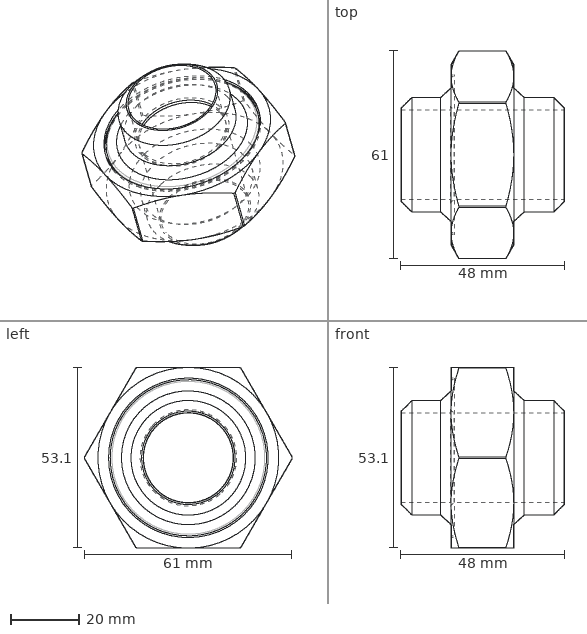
import cadquery as cq
import math


bore_radius = 13.2
pipe_radius = 16.85
bevel_length = 3.1
left_pipe_length = 8.5
right_pipe_length = 8.7
flare_length = 3.05
flare_radius = 19.65
land_radius = pipe_radius - bevel_length

across_flats = 53.1
across_corners = 61.05
nut_width = 18.45
nut_chamfer_angle = 30.0

collar_radius = 22.95
collar_fillet = 0.5
nut_opening_radius = 23.45
clearance_depth = 1.0

groove_offset = 0.2
groove_size = 1.0

nut_left = bevel_length + left_pipe_length + flare_length
nut_right = nut_left + nut_width
right_pipe_start = nut_right + flare_length
right_bevel_start = right_pipe_start + right_pipe_length
total_length = right_bevel_start + bevel_length


def revolve_about_x(profile):
    return profile.close().revolve(360, (0, 0, 0), (1, 0, 0))


def make_nut():
    """Hexagonal prism with conically chamfered and slightly trimmed corners."""
    face_radius = across_flats / 2
    corner_radius = across_corners / 2
    chamfer_length = (corner_radius - face_radius) * math.tan(math.radians(nut_chamfer_angle))
    hexagon = (
        cq.Workplane("YZ", origin=(nut_left, 0, 0))
        .polygon(6, across_flats / math.cos(math.pi / 6))
        .extrude(nut_width)
    )
    envelope = revolve_about_x(
        cq.Workplane("XY")
        .moveTo(nut_left, 0)
        .lineTo(nut_left, face_radius)
        .lineTo(nut_left + chamfer_length, corner_radius)
        .lineTo(nut_right - chamfer_length, corner_radius)
        .lineTo(nut_right, face_radius)
        .lineTo(nut_right, 0)
    )
    return hexagon.intersect(envelope)


def make_weld_ends():
    """Both beveled pipe ends with their conical shoulders, as one turned body."""
    return revolve_about_x(
        cq.Workplane("XY")
        .lineTo(0, land_radius)
        .lineTo(bevel_length, pipe_radius)
        .lineTo(bevel_length + left_pipe_length, pipe_radius)
        .lineTo(nut_left, flare_radius)
        .lineTo(nut_right, flare_radius)
        .lineTo(right_pipe_start, pipe_radius)
        .lineTo(right_bevel_start, pipe_radius)
        .lineTo(total_length, land_radius)
        .lineTo(total_length, 0)
    )


def make_clearance():
    """Narrow ring recess in the nut face, with the collar edge rounded."""
    return revolve_about_x(
        cq.Workplane("XY")
        .moveTo(nut_left, collar_radius - collar_fillet)
        .radiusArc((nut_left + collar_fillet, collar_radius), collar_fillet)
        .lineTo(nut_left + clearance_depth, collar_radius)
        .lineTo(nut_left + clearance_depth, nut_opening_radius)
        .lineTo(nut_left, nut_opening_radius)
    )


def make_bore():
    """Through bore with a V-groove that has a square left wall and a sloped right wall."""
    groove_start = nut_left - groove_offset
    return revolve_about_x(
        cq.Workplane("XY")
        .lineTo(0, bore_radius)
        .lineTo(groove_start, bore_radius)
        .lineTo(groove_start, bore_radius + groove_size)
        .lineTo(groove_start + groove_size, bore_radius)
        .lineTo(total_length, bore_radius)
        .lineTo(total_length, 0)
    )


result = make_nut().union(make_weld_ends()).cut(make_clearance()).cut(make_bore())